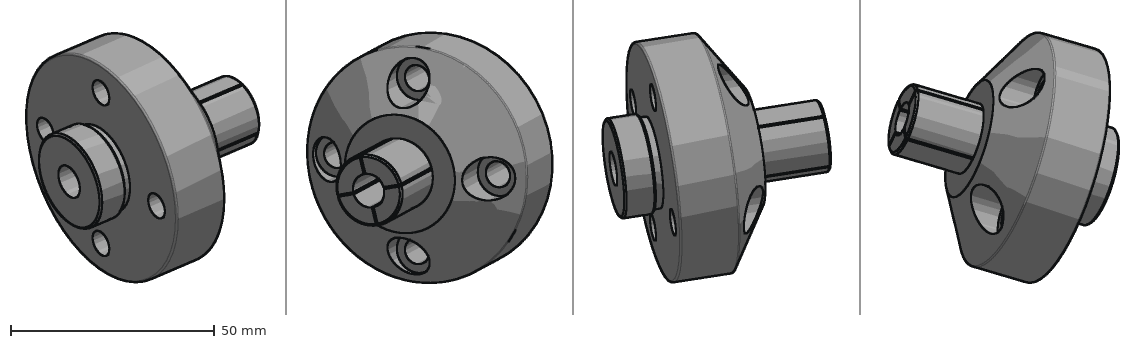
import cadquery as cq
import math

edge_chamfer = 0.5
flange_rim_round = 0.5

spigot_radius = 12.5
spigot_length = 8.0
neck_radius = 11.5
neck_length = 2.0

flange_radius = 30.0
flange_length = 15.0
shoulder_length = 10.0
shoulder_small_radius = 15.0

screw_count = 4
screw_circle_radius = 22.0
screw_hole_diameter = 6.6
counterbore_diameter = 11.0

bore_diameter = 8.5
sleeve_radius = 9.0
sleeve_projection = 18.0
slot_count = 4
slot_width = 0.5
slot_start_angle = 15.0

neck_front = spigot_length
flange_front = neck_front + neck_length
flange_back = flange_front + flange_length
shoulder_back = flange_back + shoulder_length
sleeve_front = flange_back
sleeve_back = shoulder_back + sleeve_projection


def cylinder(diameter, start, end, x=0.0, z=0.0):
    """Solid cylinder along Y from start to end, centred at (x, z)."""
    axis = cq.Vector(0, 1, 0)
    base = cq.Vector(x, start, z)
    return cq.Workplane(cq.Solid.makeCylinder(diameter / 2, end - start, base, axis))


def make_housing_blank():
    """Revolved spigot, neck, flange and shoulder; outline points are (radius, station)."""
    blank = (
        cq.Workplane("XY")
        .lineTo(spigot_radius - edge_chamfer, 0)
        .lineTo(spigot_radius, edge_chamfer)
        .lineTo(spigot_radius, neck_front - edge_chamfer)
        .lineTo(spigot_radius - edge_chamfer, neck_front)
        .lineTo(neck_radius, neck_front)
        .lineTo(neck_radius, flange_front)
        .lineTo(flange_radius, flange_front)
        .lineTo(flange_radius, flange_back)
        .lineTo(shoulder_small_radius, shoulder_back)
        .lineTo(0, shoulder_back)
        .close()
        .revolve(360, (0, 0, 0), (0, 1, 0))
    )
    flange_rims = blank.edges("%CIRCLE").filter(lambda edge: math.isclose(edge.radius(), flange_radius))
    return flange_rims.fillet(flange_rim_round)


def make_housing():
    """Flanged housing with its bore, sleeve socket and counterbored screw holes."""
    housing = make_housing_blank()
    housing = housing.cut(cylinder(bore_diameter, 0, sleeve_front))
    housing = housing.cut(cylinder(2 * sleeve_radius, sleeve_front, shoulder_back))
    for index in range(screw_count):
        angle = 2 * math.pi * index / screw_count
        x = screw_circle_radius * math.cos(angle)
        z = screw_circle_radius * math.sin(angle)
        housing = housing.cut(cylinder(screw_hole_diameter, flange_front, flange_back, x, z))
        housing = housing.cut(cylinder(counterbore_diameter, flange_back, shoulder_back, x, z))
    return housing


def make_sleeve():
    """Bored sleeve whose projecting length is split by radial slots."""
    sleeve = cylinder(2 * sleeve_radius, sleeve_front, sleeve_back)
    sleeve = sleeve.faces(">Y").chamfer(edge_chamfer)
    sleeve = sleeve.cut(cylinder(bore_diameter, sleeve_front, sleeve_back))
    slot = cq.Workplane("XY").box(
        slot_width, sleeve_projection, sleeve_radius, centered=(True, False, False)
    )
    slot = slot.translate((0, shoulder_back, 0))
    for index in range(slot_count):
        angle = slot_start_angle + 360 * index / slot_count
        sleeve = sleeve.cut(slot.rotate((0, 0, 0), (0, 1, 0), angle))
    return sleeve


housing = make_housing()
sleeve = make_sleeve()
result = cq.Compound.makeCompound([housing.val(), sleeve.val()])